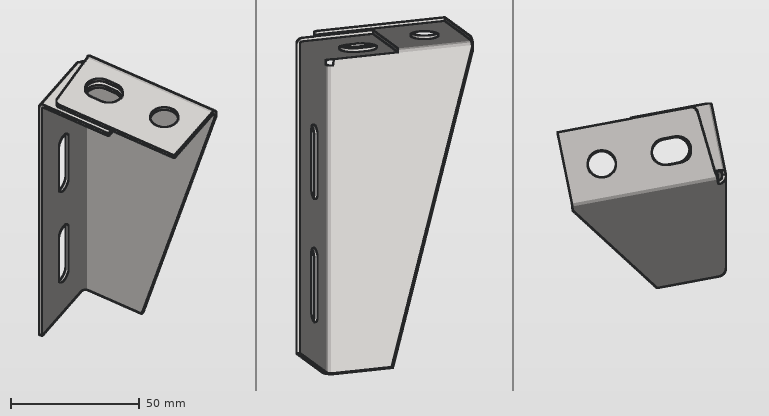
import cadquery as cq
import math

sheet = 1.5
depth = 61.5
width = 32.32
height = 130.5
tight_bend = 2.5
wide_bend = 3.5

flange_gap = 1.0
back_height = height - sheet - flange_gap
web_foot = 28.0
web_slant_top = 126.0
lower_flange_length = 32.0
upper_flange_front = 1.1
upper_flange_corner = 2.5

corner_bend_top = 125.0
lower_flange_inset = 4.7
web_start = 3.8
upper_flange_start = 4.2
upper_flange_front_start = 6.4

hole_diameter = 11.0
upper_slot_length = 15.4
upper_slot_x = 19.3
lower_slot_length = 15.0
lower_slot_x = 19.6
round_hole_x = 47.0
upper_hole_y = 17.0
slot_y = 16.0
back_slot_length = 30.0
back_slot_width = 7.0
back_slot_heights = (32.0, 82.0)

bend_y = width - wide_bend
margin = 1.0


def bent_strip(plane, u_end, corner, v_end, radius, length):
    """Extrude an L of sheet whose outer faces meet at corner, with a rounded bend."""
    u_corner, v_corner = corner
    u_side = math.copysign(1, u_end - u_corner)
    v_side = math.copysign(1, v_end - v_corner)
    u_inner = u_corner + u_side * sheet
    v_inner = v_corner + v_side * sheet
    u_bend = u_corner + u_side * radius
    v_bend = v_corner + v_side * radius
    diagonal = math.sqrt(0.5)
    outer_mid = (u_bend - u_side * radius * diagonal, v_bend - v_side * radius * diagonal)
    inner_radius = radius - sheet
    inner_mid = (
        u_bend - u_side * inner_radius * diagonal,
        v_bend - v_side * inner_radius * diagonal,
    )
    return (
        cq.Workplane(plane)
        .moveTo(u_end, v_corner)
        .lineTo(u_bend, v_corner)
        .threePointArc(outer_mid, (u_corner, v_bend))
        .lineTo(u_corner, v_end)
        .lineTo(u_inner, v_end)
        .lineTo(u_inner, v_bend)
        .threePointArc(inner_mid, (u_bend, v_inner))
        .lineTo(u_end, v_inner)
        .close()
        .extrude(length)
    )


def corner_bend():
    """Quarter tube joining the back plate to the web, below the open corner."""
    quadrant = cq.Workplane("XY").rect(wide_bend, wide_bend, centered=False).extrude(corner_bend_top)
    return (
        cq.Workplane("XY")
        .circle(wide_bend)
        .circle(wide_bend - sheet)
        .extrude(corner_bend_top)
        .translate((wide_bend, bend_y, 0))
        .intersect(quadrant.translate((0, bend_y, 0)))
    )


def back_plate():
    """Slotted back plate with the lower flange bent forward from its top."""
    plate = bent_strip("XZ", lower_flange_length, (0, back_height), 0, tight_bend, -width)
    flange_edge = width - lower_flange_inset
    beyond_corner = (
        cq.Workplane("YZ")
        .moveTo(bend_y, 0)
        .lineTo(bend_y, corner_bend_top)
        .lineTo(flange_edge, back_height - sheet)
        .lineTo(flange_edge, height)
        .lineTo(width + margin, height)
        .lineTo(width + margin, 0)
        .close()
        .extrude(depth)
    )
    back_slots = (
        cq.Workplane("YZ")
        .pushPoints([(slot_y, z) for z in back_slot_heights])
        .slot2D(back_slot_length, back_slot_width, 90)
        .extrude(tight_bend)
    )
    flange_slot = (
        cq.Workplane("XY", origin=(lower_slot_x, slot_y, back_height - tight_bend))
        .slot2D(lower_slot_length, hole_diameter)
        .extrude(height)
    )
    return plate.cut(beyond_corner).cut(back_slots).cut(flange_slot)


def web_outline():
    """Envelope of the web in XZ, with its slanted lower edge."""
    return (
        cq.Workplane("XZ")
        .moveTo(wide_bend, 0)
        .lineTo(web_foot, 0)
        .lineTo(depth, web_slant_top)
        .lineTo(depth, height)
        .lineTo(web_start, height)
        .lineTo(web_start, height - wide_bend)
        .lineTo(wide_bend, corner_bend_top)
        .close()
        .extrude(-width)
    )


def upper_flange_outline():
    """Envelope of the upper flange in XY, with its tapered edge and rounded corner."""
    return (
        cq.Workplane("XY")
        .moveTo(wide_bend, width)
        .lineTo(wide_bend, width - sheet)
        .lineTo(upper_flange_start, bend_y)
        .lineTo(upper_flange_front_start, upper_flange_front)
        .lineTo(depth, upper_flange_front)
        .lineTo(depth, width)
        .close()
        .extrude(height)
        .edges("|Z and <Y")
        .edges("<X")
        .fillet(upper_flange_corner)
    )


def web_and_upper_flange():
    """Web with the upper flange bent over the lower flange."""
    strip = bent_strip("YZ", 0, (width, height), 0, wide_bend, depth)
    floor = height - wide_bend
    slot = (
        cq.Workplane("XY", origin=(upper_slot_x, upper_hole_y, floor))
        .slot2D(upper_slot_length, hole_diameter)
        .extrude(wide_bend)
    )
    round_hole = (
        cq.Workplane("XY", origin=(round_hole_x, upper_hole_y, floor))
        .circle(hole_diameter / 2)
        .extrude(wide_bend)
    )
    return strip.intersect(web_outline()).intersect(upper_flange_outline()).cut(slot).cut(round_hole)


result = corner_bend().union(back_plate()).union(web_and_upper_flange()).clean()